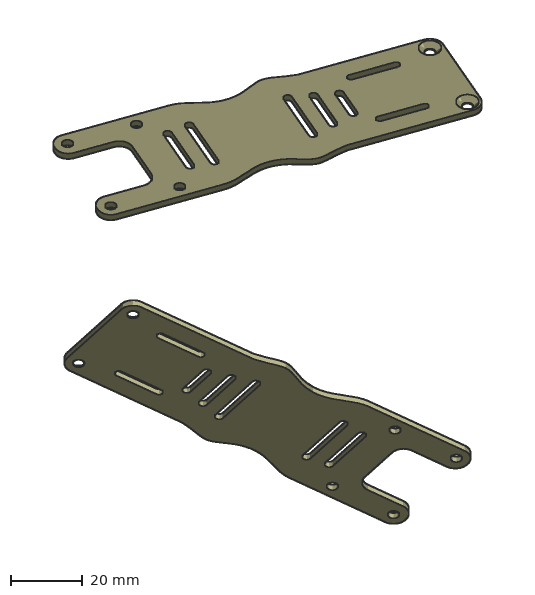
import cadquery as cq

LENGTH = 117.5
THICKNESS = 2.0
TOP_Z = THICKNESS
HEAD_Y = LENGTH / 2
FORK_Y = -LENGTH / 2
CORNER_RADIUS = 4.0

HEAD_HALF_WIDTH = 17.0
HIP_HALF_WIDTH = 19.0
WAIST_HALF_WIDTH = 15.0
SHOULDER_Y = HEAD_Y - 42.5
BULGE_Y = HEAD_Y - 52.5
WAIST_Y = HEAD_Y - 64.4
FLARE_MID_Y = HEAD_Y - 73.4
HIP_Y = HEAD_Y - 81.0

SHOULDER_DIRECTION = (0.14, -1)
WAIST_DIRECTION = (-0.08, -1)
HIP_DIRECTION = (0, -1)

NOTCH_WIDTH = 21.0
NOTCH_DEPTH = 20.0

HOLE_DIAMETER = 3.2
COUNTERSINK_DIAMETER = 2 * HOLE_DIAMETER
COUNTERSINK_ANGLE = 90.0
HEAD_HOLE_X = HEAD_HALF_WIDTH - CORNER_RADIUS
HEAD_HOLE_Y = HEAD_Y - CORNER_RADIUS
FORK_HOLE_X = HIP_HALF_WIDTH - CORNER_RADIUS
FORK_TIP_HOLE_Y = FORK_Y + CORNER_RADIUS
FORK_HOLE_PITCH = 21.0

STRAP_SLOT_X = 10.0
STRAP_SLOT_Y = HEAD_Y - 22.5
STRAP_SLOT_LENGTH = 16.0
STRAP_SLOT_WIDTH = 2.2
ALONG_PLATE = 90.0
CROSS_SLOT_WIDTH = 2.5
CROSS_SLOT_PITCH = 7.0
HEAD_CROSS_SLOT_Y = HEAD_Y - 35.2
HEAD_CROSS_SLOT_LENGTHS = (12.0, 16.0, 20.0)
FORK_CROSS_SLOT_Y = HEAD_Y - 79.2
FORK_CROSS_SLOT_LENGTHS = (20.0, 18.0)


def half_plate():
    """The +X half of the plate, with its wavy side edge."""
    bulge_points = [(HIP_HALF_WIDTH, BULGE_Y), (WAIST_HALF_WIDTH, WAIST_Y)]
    flare_mid_x = (WAIST_HALF_WIDTH + HIP_HALF_WIDTH) / 2
    flare_points = [(flare_mid_x, FLARE_MID_Y), (HIP_HALF_WIDTH, HIP_Y)]
    return (
        cq.Workplane("XY")
        .moveTo(0, HEAD_Y)
        .lineTo(HEAD_HALF_WIDTH, HEAD_Y)
        .lineTo(HEAD_HALF_WIDTH, SHOULDER_Y)
        .spline(bulge_points, tangents=[SHOULDER_DIRECTION, WAIST_DIRECTION], includeCurrent=True)
        .spline(flare_points, tangents=[WAIST_DIRECTION, HIP_DIRECTION], includeCurrent=True)
        .lineTo(HIP_HALF_WIDTH, FORK_Y)
        .lineTo(NOTCH_WIDTH / 2, FORK_Y)
        .lineTo(NOTCH_WIDTH / 2, FORK_Y + NOTCH_DEPTH)
        .lineTo(0, FORK_Y + NOTCH_DEPTH)
        .close()
        .extrude(THICKNESS)
    )


def round_corners(half):
    """Round the head corner, both fork tip corners and the notch corner."""
    corners = [
        (HEAD_HALF_WIDTH, HEAD_Y),
        (HIP_HALF_WIDTH, FORK_Y),
        (NOTCH_WIDTH / 2, FORK_Y),
        (NOTCH_WIDTH / 2, FORK_Y + NOTCH_DEPTH),
    ]
    for x, y in corners:
        nearest_edge = cq.selectors.NearestToPointSelector((x, y, THICKNESS / 2))
        half = half.edges("|Z").edges(nearest_edge).fillet(CORNER_RADIUS)
    return half


def on_top(body, points):
    """Place points on the plate's top face."""
    return body.copyWorkplane(cq.Workplane("XY", origin=(0, 0, TOP_Z))).pushPoints(points)


def cut_holes(body):
    """Countersunk holes at the head, plain holes along the fork arms."""
    head_points = [(side * HEAD_HOLE_X, HEAD_HOLE_Y) for side in (-1, 1)]
    fork_points = [
        (side * FORK_HOLE_X, y)
        for side in (-1, 1)
        for y in (FORK_TIP_HOLE_Y, FORK_TIP_HOLE_Y + FORK_HOLE_PITCH)
    ]
    body = on_top(body, head_points).cskHole(HOLE_DIAMETER, COUNTERSINK_DIAMETER, COUNTERSINK_ANGLE)
    return on_top(body, fork_points).hole(HOLE_DIAMETER)


def cut_cross_slots(body, first_y, lengths):
    """A row of slots across the plate, stepping towards the fork."""
    for index, length in enumerate(lengths):
        center = (0, first_y - index * CROSS_SLOT_PITCH)
        body = on_top(body, [center]).slot2D(length, CROSS_SLOT_WIDTH).cutThruAll()
    return body


def cut_strap_slots(body):
    """Two slots along the plate, one on each side of the head."""
    centers = [(side * STRAP_SLOT_X, STRAP_SLOT_Y) for side in (-1, 1)]
    return on_top(body, centers).slot2D(STRAP_SLOT_LENGTH, STRAP_SLOT_WIDTH, ALONG_PLATE).cutThruAll()


half = round_corners(half_plate())
plate = half.union(half.mirror("YZ")).clean()
plate = cut_holes(plate)
plate = cut_strap_slots(plate)
plate = cut_cross_slots(plate, HEAD_CROSS_SLOT_Y, HEAD_CROSS_SLOT_LENGTHS)
result = cut_cross_slots(plate, FORK_CROSS_SLOT_Y, FORK_CROSS_SLOT_LENGTHS)